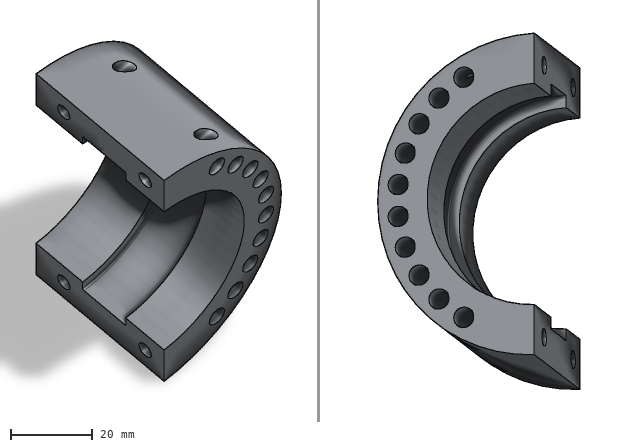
import cadquery as cq
import math

length = 45.4
outer_radius = 40
bore_radius = 27.5
split_gap = 0.55

recess_radius = 30.5
recess_start = 16.55
recess_end = 31.8
recess_fillet = 0.5

screw_diameter = 4.3
screw_height = 33.8
screw_first = 9.8
screw_spacing = 28.9

axial_diameter = 5.0
axial_circle_radius = 35.0
axial_count = 10
axial_pitch_angle = 13


def x_cylinder(radius, start, end):
    """Cylinder around the bore axis between two X positions."""
    return cq.Workplane("YZ", origin=(start, 0, 0)).circle(radius).extrude(end - start)


def bore_recess():
    """Recess cutter with a rounded corner at each end."""
    recess = x_cylinder(recess_radius, recess_start, recess_end)
    return recess.edges("%CIRCLE").fillet(recess_fillet)


def axial_holes():
    """Evenly pitched through holes, symmetric about the +Y direction."""
    middle = (axial_count - 1) / 2
    points = []
    for index in range(axial_count):
        angle = math.radians((index - middle) * axial_pitch_angle)
        points.append((axial_circle_radius * math.cos(angle), axial_circle_radius * math.sin(angle)))
    return cq.Workplane("YZ").pushPoints(points).circle(axial_diameter / 2).extrude(length)


def screw_holes():
    """Four through holes along Y, two on each side of the bore."""
    points = []
    for x in (screw_first, screw_first + screw_spacing):
        for z in (-screw_height, screw_height):
            points.append((x, z))
    return cq.Workplane("XZ").pushPoints(points).circle(screw_diameter / 2).extrude(-outer_radius)


ring = x_cylinder(outer_radius, 0, length).cut(x_cylinder(bore_radius, 0, length)).cut(bore_recess())
kept_half = cq.Workplane("XY").box(length, outer_radius, 2 * outer_radius, centered=(False, False, True))
half_ring = ring.intersect(kept_half.translate((0, split_gap, 0)))
result = half_ring.cut(axial_holes()).cut(screw_holes())